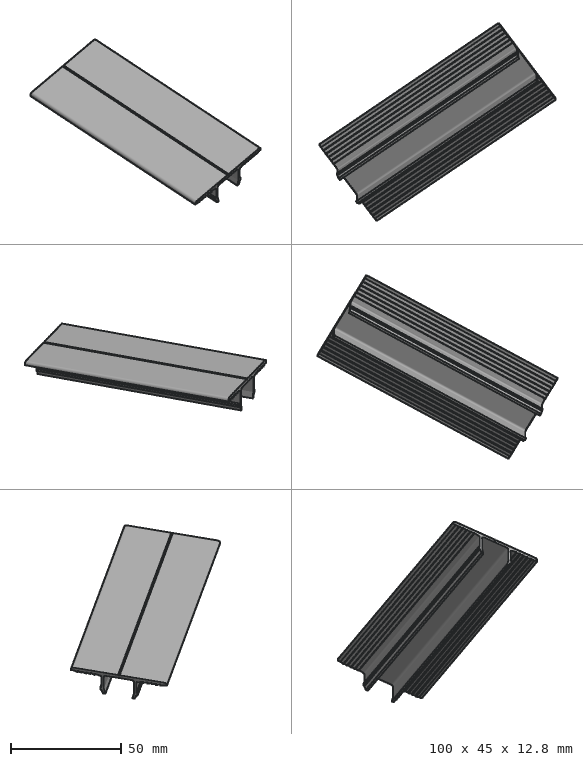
import cadquery as cq
import math

LENGTH = 100.0
WIDTH = 45.0
HEIGHT = 12.8

PLATE_THICKNESS = 1.8
EDGE_RADIUS = 1.4
EDGE_BOTTOM_RADIUS = 0.2
GROOVE_WIDTH = 0.8
GROOVE_DEPTH = 0.4

TOOTH_COUNT = 5
TOOTH_PITCH = 2.0
TOOTH_RAMP = 1.7
TOOTH_HEIGHT = 0.6
OUTERMOST_TOOTH_TIP = 19.3

LEG_OUTER = 8.2
LEG_THICKNESS = 1.2
LEG_INNER = LEG_OUTER - LEG_THICKNESS
OUTER_ROOT_RADIUS = 0.8
INNER_ROOT_RADIUS = 1.0
ROOT_PAD_DROP = 0.5
ROOT_PAD_WIDTH = 2.7

BARB_REACH = 0.6
BARB_TOP_DROP = 8.9
BARB_FACE_TOP_DROP = 9.5
BARB_FACE_BOTTOM_DROP = 10.4
BARB_BOTTOM_DROP = 10.9
BEND_DROP = 9.8
FOOT_OUTER = 7.4
FOOT_INNER = 6.3

PLATE_BOTTOM = HEIGHT - PLATE_THICKNESS
PLATE_MIDDLE = HEIGHT - PLATE_THICKNESS / 2

ARC_MIDDLE_INSET = 1 - math.sqrt(0.5)


def extrude_outline(points):
    """Extrude a closed (Y, Z) outline along the full length."""
    return cq.Workplane("YZ").polyline(points).close().extrude(LENGTH)


def make_plate():
    """The flat plate with rounded long edges and a V-groove along its middle.

    Each edge arc is tangent to the top face and runs past its widest point to the bottom face,
    where the corner is slightly rounded.
    """
    side = WIDTH / 2
    arc_center_y = side - EDGE_RADIUS
    arc_center_z = HEIGHT - EDGE_RADIUS
    bottom_y = arc_center_y + math.sqrt(EDGE_RADIUS**2 - (arc_center_z - PLATE_BOTTOM) ** 2)
    plate = (
        cq.Workplane("YZ")
        .moveTo(-arc_center_y, HEIGHT)
        .lineTo(arc_center_y, HEIGHT)
        .threePointArc((side, arc_center_z), (bottom_y, PLATE_BOTTOM))
        .lineTo(-bottom_y, PLATE_BOTTOM)
        .threePointArc((-side, arc_center_z), (-arc_center_y, HEIGHT))
        .close()
        .extrude(LENGTH)
    )
    plate = plate.edges("|X and <Z").fillet(EDGE_BOTTOM_RADIUS)
    groove = extrude_outline([
        (-GROOVE_WIDTH / 2, HEIGHT),
        (0, HEIGHT - GROOVE_DEPTH),
        (GROOVE_WIDTH / 2, HEIGHT),
    ])
    return plate.cut(groove)


def make_tooth(tip):
    """A ridge that ramps down from its outer side to a steep inner face at the tip."""
    return extrude_outline([
        (tip + TOOTH_RAMP, PLATE_MIDDLE),
        (tip + TOOTH_RAMP, PLATE_BOTTOM),
        (tip, PLATE_BOTTOM - TOOTH_HEIGHT),
        (tip, PLATE_MIDDLE),
    ])


def make_leg():
    """A clip leg with a sloped root pad, root fillets, a barb and a foot."""
    pad_bottom = PLATE_BOTTOM - ROOT_PAD_DROP
    pad_outer = LEG_OUTER + ROOT_PAD_WIDTH
    barb_outer = LEG_OUTER + BARB_REACH
    outer_inset = OUTER_ROOT_RADIUS * ARC_MIDDLE_INSET
    inner_inset = INNER_ROOT_RADIUS * ARC_MIDDLE_INSET
    inner_root = LEG_INNER - INNER_ROOT_RADIUS
    outline = (
        cq.Workplane("YZ")
        .moveTo(inner_root, PLATE_MIDDLE)
        .lineTo(pad_outer, PLATE_MIDDLE)
        .lineTo(pad_outer, PLATE_BOTTOM)
        .lineTo(LEG_OUTER + OUTER_ROOT_RADIUS, pad_bottom)
        .threePointArc(
            (LEG_OUTER + outer_inset, pad_bottom - outer_inset),
            (LEG_OUTER, pad_bottom - OUTER_ROOT_RADIUS),
        )
        .lineTo(LEG_OUTER, HEIGHT - BARB_TOP_DROP)
        .lineTo(barb_outer, HEIGHT - BARB_FACE_TOP_DROP)
        .lineTo(barb_outer, HEIGHT - BARB_FACE_BOTTOM_DROP)
        .lineTo(LEG_OUTER, HEIGHT - BARB_BOTTOM_DROP)
        .lineTo(FOOT_OUTER, 0)
        .lineTo(FOOT_INNER, 0)
        .lineTo(LEG_INNER, HEIGHT - BEND_DROP)
        .lineTo(LEG_INNER, PLATE_BOTTOM - INNER_ROOT_RADIUS)
        .threePointArc(
            (LEG_INNER - inner_inset, PLATE_BOTTOM - inner_inset),
            (inner_root, PLATE_BOTTOM),
        )
        .close()
    )
    return outline.extrude(LENGTH)


result = make_plate()
leg = make_leg()
result = result.union(leg).union(leg.mirror("XZ"))
for i in range(TOOTH_COUNT):
    tooth = make_tooth(OUTERMOST_TOOTH_TIP - i * TOOTH_PITCH)
    result = result.union(tooth).union(tooth.mirror("XZ"))